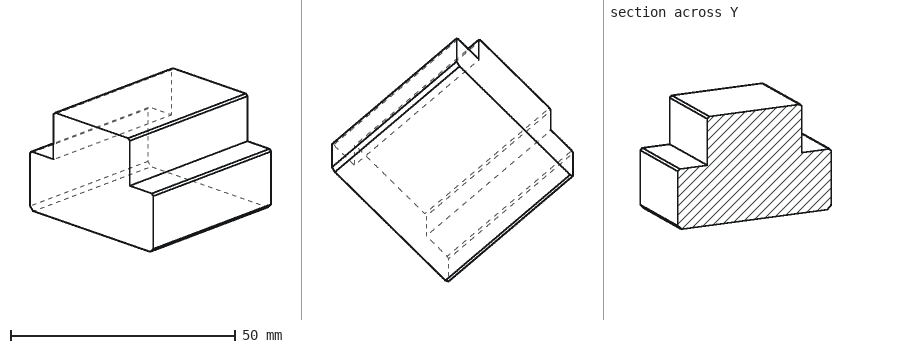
import cadquery as cq

base_width = 38.2
length = 38.0
total_height = 25.4

base_height = 14.15
neck_width = 23.57

top_chamfer = 0.5
bottom_chamfer = 1.0

base_half = base_width / 2
neck_half = neck_width / 2

half_section = (
    cq.Workplane("XZ")
    .polyline([
        (0, 0),
        (base_half - bottom_chamfer, 0),
        (base_half, bottom_chamfer),
        (base_half, base_height - top_chamfer),
        (base_half - top_chamfer, base_height),
        (neck_half, base_height),
        (neck_half, total_height - top_chamfer),
        (neck_half - top_chamfer, total_height),
        (0, total_height),
    ])
)

result = half_section.mirrorY().extrude(length / 2, both=True)